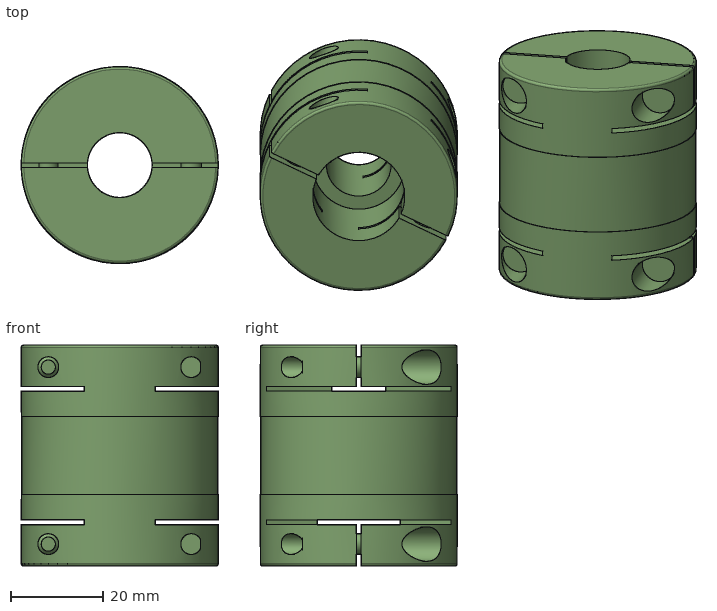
import cadquery as cq
import math

length = 48.0
hub_radius = 21.4
hub_length = 15.5
sleeve_radius = 21.3
rim_fillet = 0.6

upper_bore_radius = 7.0
lower_bore_radius = 10.0

cut_width = 1.0
slot_depth = 9.0
slot_end_x = 7.75
slot_arc_radius = 49.9

screw_x = 15.5
screw_depth = 4.8
screw_hole_diameter = 4.5
left_shank_diameter = 4.15
right_shank_diameter = screw_hole_diameter
head_hole_diameter = 7.5
head_seat_y = 8.0
screw_end_y = -12.25
screw_tip_diameter = 3.05
screw_tip_chamfer = (screw_hole_diameter - screw_tip_diameter) / 2
tip_base_y = screw_end_y + screw_tip_chamfer

half_length = length / 2
slot_end_y = math.sqrt(hub_radius**2 - slot_end_x**2)
slot_arc_center_x = slot_end_x + math.sqrt(slot_arc_radius**2 - slot_end_y**2)


def cylinder_z(radius, bottom, top):
    """Cylinder on the Z axis."""
    return cq.Workplane("XY").workplane(offset=bottom).circle(radius).extrude(top - bottom)


def rod_y(x, z, diameter, y_start, y_end):
    """Cylinder parallel to Y."""
    plane = cq.Plane(origin=(x, y_start, z), xDir=(1, 0, 0), normal=(0, 1, 0))
    return cq.Workplane(plane).circle(diameter / 2).extrude(y_end - y_start)


def make_body():
    """Hubs and sleeve with rounded end rims and the stepped shaft bore."""
    body = cylinder_z(hub_radius, -half_length, half_length)
    body = body.faces("<Z or >Z").edges().fillet(rim_fillet)
    sleeve_end = half_length - hub_length
    sleeve_relief = cylinder_z(hub_radius, -sleeve_end, sleeve_end).cut(
        cylinder_z(sleeve_radius, -sleeve_end, sleeve_end)
    )
    body = body.cut(sleeve_relief)
    body = body.cut(cylinder_z(upper_bore_radius, 0, half_length))
    return body.cut(cylinder_z(lower_bore_radius, -half_length, 0))


def clamp_cuts(end):
    """Slit along X and the two arc-ended cross slots of one hub (end is +1 or -1)."""
    slit_depth = slot_depth + cut_width
    slit = cq.Workplane("XY").box(2 * hub_radius, cut_width, slit_depth)
    cuts = slit.translate((0, 0, end * (half_length - slit_depth / 2)))
    slot_z = end * (half_length - slot_depth - cut_width / 2)
    for side in (-1, 1):
        disc = cylinder_z(slot_arc_radius, slot_z - cut_width / 2, slot_z + cut_width / 2)
        cuts = cuts.union(disc.translate((side * slot_arc_center_x, 0, 0)))
    return cuts


def screw_holes(x, z, end_y):
    """Head counterbore from +Y and the open hole at -Y, with its floor at end_y."""
    head_hole = rod_y(x, z, head_hole_diameter, head_seat_y, hub_radius)
    return head_hole.union(rod_y(x, z, screw_hole_diameter, -hub_radius, end_y))


def shank(x, z, diameter):
    """Screw shank bridging the clamp slit."""
    return rod_y(x, z, diameter, -cut_width, cut_width)


def screw_tip(x, z):
    """Chamfered screw end standing up from the floor of its hole."""
    tip = cq.Solid.makeCone(
        screw_hole_diameter / 2,
        screw_tip_diameter / 2,
        screw_tip_chamfer,
        cq.Vector(x, tip_base_y, z),
        cq.Vector(0, -1, 0),
    )
    return cq.Workplane(tip)


result = make_body()
for end in (-1, 1):
    screw_z = end * (half_length - screw_depth)
    result = result.cut(clamp_cuts(end))
    result = result.cut(screw_holes(-screw_x, screw_z, tip_base_y))
    result = result.cut(screw_holes(screw_x, screw_z, screw_end_y))
    result = result.union(screw_tip(-screw_x, screw_z))
    result = result.union(shank(-screw_x, screw_z, left_shank_diameter))
    result = result.union(shank(screw_x, screw_z, right_shank_diameter))